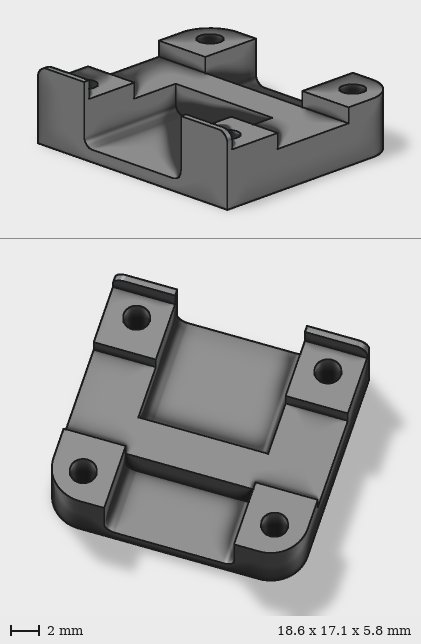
import cadquery as cq

width = 18.6
length = 17.1
body_height = 4.4
back_corner_radius = 2.7

lip_height = 5.8
lip_thickness = 0.5
lip_corner_radius = 0.85

groove_floor = 3.2
groove_front = 5.0
groove_back = 12.05

channel_width = 9.5
channel_floor = 0.95
channel_corner_radius = 0.8
front_channel_end = 9.1
back_channel_start = groove_back

hole_diameter = 1.9
hole_spacing_x = 14.0
hole_spacing_y = 12.5
front_hole_y = 2.3


def box_between(size_x, y_start, y_end, z_bottom, z_top):
    """Box centred on X, spanning the given Y and Z ranges."""
    box = cq.Workplane("XY").box(size_x, y_end - y_start, z_top - z_bottom, centered=(True, False, False))
    return box.translate((0, y_start, z_bottom))


def make_body():
    body = box_between(width, 0, length, 0, body_height)
    return body.edges("|Z and >Y").fillet(back_corner_radius)


def make_lip():
    lip = box_between(width, 0, lip_thickness, 0, lip_height)
    return lip.edges("|Y and >Z").fillet(lip_corner_radius)


def make_channel(y_start, y_end):
    channel = box_between(channel_width, y_start, y_end, channel_floor, lip_height)
    return channel.edges("|Y and <Z").fillet(channel_corner_radius)


def make_holes():
    hole_centre_y = front_hole_y + hole_spacing_y / 2
    return (
        cq.Workplane("XY")
        .center(0, hole_centre_y)
        .rarray(hole_spacing_x, hole_spacing_y, 2, 2)
        .circle(hole_diameter / 2)
        .extrude(body_height)
    )


groove = box_between(width, groove_front, groove_back, groove_floor, body_height)

result = (
    make_body()
    .union(make_lip())
    .cut(groove)
    .cut(make_channel(0, front_channel_end))
    .cut(make_channel(back_channel_start, length))
    .cut(make_holes())
)